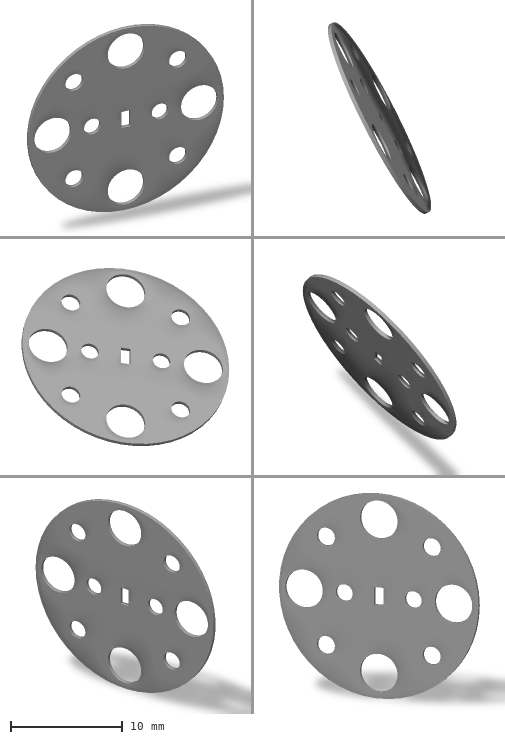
import cadquery as cq

disc_diameter = 19.05
thickness = 0.36

pitch_radius = 7.15
large_hole_diameter = 3.58
small_hole_diameter = 1.71
holes_per_ring = 4
hole_step_angle = 360.0 / holes_per_ring

inner_hole_diameter = 1.6
inner_hole_spacing = 6.6

slot_width = 0.88
slot_height = 1.68


def through_sketch():
    """Workplane on the -X face from which through cutters are extruded."""
    return cq.Workplane("YZ", origin=(-thickness / 2, 0, 0))


def hole_ring(diameter, start_angle):
    """Cutters for evenly spaced holes on the pitch circle."""
    ring = through_sketch().polarArray(pitch_radius, start_angle, 360, holes_per_ring)
    return ring.circle(diameter / 2).extrude(thickness)


disc = through_sketch().circle(disc_diameter / 2).extrude(thickness)

large_holes = hole_ring(large_hole_diameter, 0)
small_holes = hole_ring(small_hole_diameter, hole_step_angle / 2)

inner_holes = (
    through_sketch()
    .rarray(inner_hole_spacing, 0.2, 2, 1)
    .circle(inner_hole_diameter / 2)
    .extrude(thickness)
)

slot = through_sketch().rect(slot_width, slot_height).extrude(thickness)

result = disc.cut(large_holes).cut(small_holes).cut(inner_holes).cut(slot)